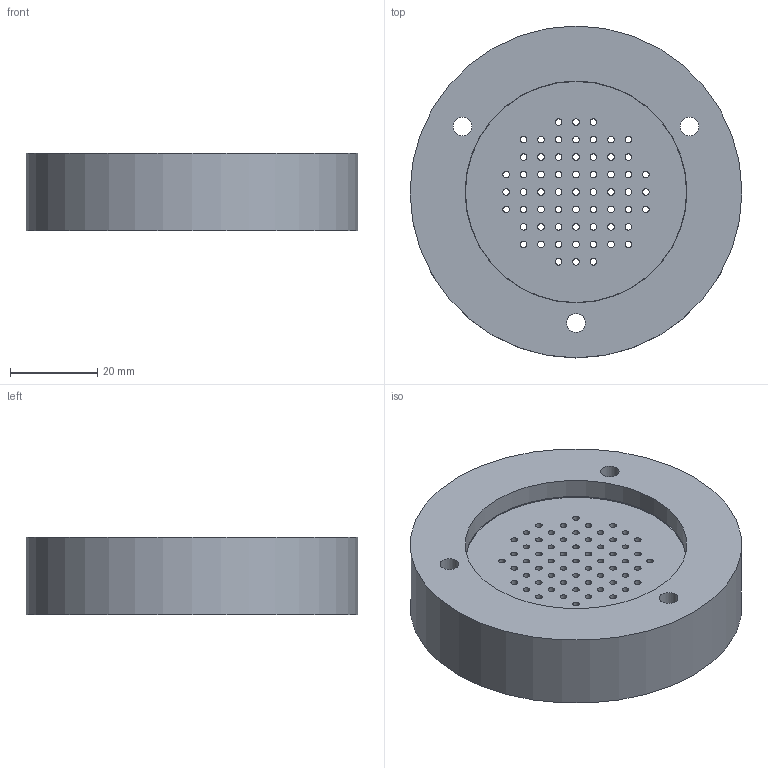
import cadquery as cq

body_diameter = 76.0
body_height = 17.65

floor_thickness = 13.0
pocket_diameter = 50.8
seat_diameter = 50.65
seat_depth = 0.2

mount_hole_count = 3
mount_hole_diameter = 4.3
mount_circle_radius = 30.0
first_mount_angle = -90.0

perforation_diameter = 1.5
perforation_pitch = 4.0
perforation_steps = 4
perforation_patch_radius = 17.5


def make_cylinder(diameter, bottom, top):
    """Upright cylinder on the Z axis."""
    return cq.Workplane("XY", origin=(0, 0, bottom)).circle(diameter / 2).extrude(top - bottom)


def make_pocket():
    seat_top = floor_thickness + seat_depth
    seat = make_cylinder(seat_diameter, floor_thickness, seat_top)
    return make_cylinder(pocket_diameter, seat_top, body_height).union(seat)


def make_mount_holes():
    return (
        cq.Workplane("XY")
        .polarArray(mount_circle_radius, first_mount_angle, 360, mount_hole_count)
        .circle(mount_hole_diameter / 2)
        .extrude(body_height)
    )


def perforation_points():
    offsets = [step * perforation_pitch for step in range(-perforation_steps, perforation_steps + 1)]
    return [(x, y) for x in offsets for y in offsets if x**2 + y**2 < perforation_patch_radius**2]


def make_perforations():
    return (
        cq.Workplane("XY")
        .pushPoints(perforation_points())
        .circle(perforation_diameter / 2)
        .extrude(floor_thickness)
    )


body = make_cylinder(body_diameter, 0, body_height)
result = body.cut(make_pocket()).cut(make_mount_holes()).cut(make_perforations())